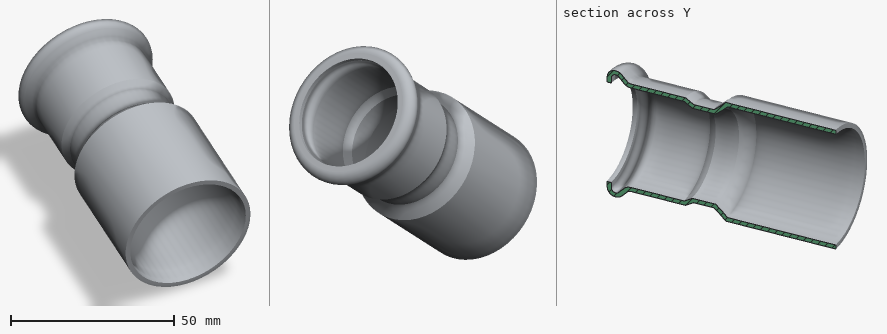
import cadquery as cq
import math

length = 79.0
wall = 1.6

socket_radius = 19.0
neck_radius = 17.4
spigot_radius = 21.0

bead_diameter = 44.6
bead_round = 3.0
bead_center_radius = bead_diameter / 2 - bead_round
bead_center_x = bead_round

socket_end = 27.1
neck_start = 29.9
neck_end = 36.9
spigot_start = 41.0

blend_round = 1.8
DIAGONAL = math.radians(45)
HALF_DIAGONAL = DIAGONAL / 2
blend_center_radius = socket_radius + blend_round
socket_start = (
    bead_center_x
    + bead_center_radius
    - blend_center_radius
    + (bead_round + blend_round) / math.cos(DIAGONAL)
)


def bead_point(angle, inset):
    """Point on the bead's cross-section; angle 0 points radially outward, positive toward the socket."""
    radius = bead_round - inset
    return (
        bead_center_x + radius * math.sin(angle),
        bead_center_radius + radius * math.cos(angle),
    )


def blend_point(angle, inset):
    """Point on the concave blend; angle 0 is its tangent point with the socket."""
    radius = blend_round + inset
    return (
        socket_start - radius * math.sin(angle),
        blend_center_radius - radius * math.cos(angle),
    )


def revolved_profile(inset, lip_radius):
    """Solid inside the tube surface lying a given distance below the outer surface."""
    shoulder_angle = math.atan2(socket_radius - neck_radius, neck_start - socket_end)
    flare_angle = math.atan2(spigot_radius - neck_radius, spigot_start - neck_end)
    shoulder_shift = inset * math.tan(shoulder_angle / 2)
    flare_shift = inset * math.tan(flare_angle / 2)

    start_x = bead_point(-math.pi / 2, inset)[0]
    profile = cq.Workplane("XY").moveTo(0, 0).lineTo(0, lip_radius)
    if inset > 0:
        profile = profile.lineTo(start_x, lip_radius)
    return (
        profile.lineTo(start_x, bead_center_radius)
        .threePointArc(bead_point(-HALF_DIAGONAL, inset), bead_point(DIAGONAL, inset))
        .lineTo(*blend_point(DIAGONAL, inset))
        .threePointArc(blend_point(HALF_DIAGONAL, inset), blend_point(0, inset))
        .lineTo(socket_end - shoulder_shift, socket_radius - inset)
        .lineTo(neck_start - shoulder_shift, neck_radius - inset)
        .lineTo(neck_end + flare_shift, neck_radius - inset)
        .lineTo(spigot_start + flare_shift, spigot_radius - inset)
        .lineTo(length, spigot_radius - inset)
        .lineTo(length, 0)
        .close()
        .revolve(360, (0, 0, 0), (1, 0, 0))
    )


lip_radius = socket_radius - wall
outside = revolved_profile(0, lip_radius)
bore = revolved_profile(wall, lip_radius)
result = outside.cut(bore)